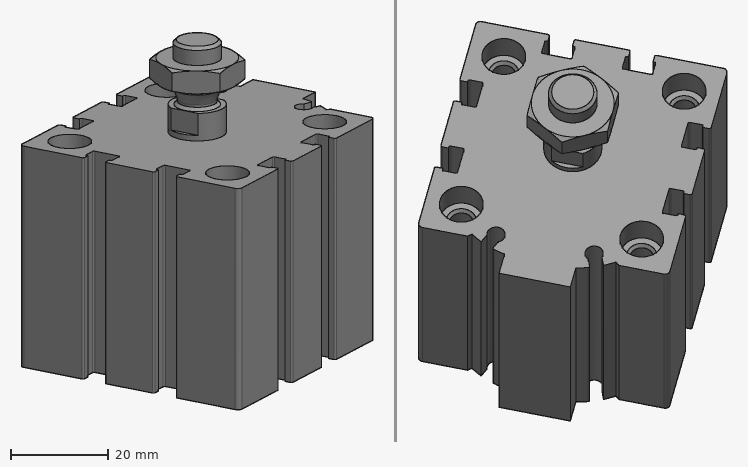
import cadquery as cq
import math

BODY_WIDTH = 53.0
BODY_HEIGHT = 48.0
HALF_WIDTH = BODY_WIDTH / 2
CORNER_RADIUS = 1.0

TAB_WIDTH = 15.0
TOTAL_DEPTH = 60.5
TAB_END_Y = TOTAL_DEPTH - HALF_WIDTH

SLOT_OFFSET = 8.5
SLOT_DEPTH = 4.9
SLOT_WIDTH = 6.4
SLOT_RADIUS = 0.35
LIP_DEPTH = 1.7
MOUTH_WIDTH = 5.2
MOUTH_RADIUS = 0.4

GROOVE_TILT = 22.5
GROOVE_X = 10.35
GROOVE_Y = 24.75
GROOVE_DIAMETER = 3.75
GROOVE_NECK = 2.85
GROOVE_HEIGHT = 3.2
GROOVE_EDGE_RADIUS = 0.35

SHOULDER_RADIUS = 20.0
SHOULDER_TOP_Y = 29.1
NOTCH_X = 16.0
NOTCH_BOTTOM_X = 15.15
NOTCH_DEPTH = 0.7

HOLE_SPACING = 38.0
HOLE_DIAMETER = 4.9
COUNTERBORE_DIAMETER = 9.0
COUNTERBORE_DEPTH = 6.0
COUNTERSINK_DIAMETER = 6.2

ROD_DIAMETER = 12.0
ROD_LENGTH = 6.0
FLAT_DISTANCE = 10.0
FLAT_START = 1.2
THREAD_DIAMETER = 10.0
THREAD_CHAMFER = 0.7
NECK_DIAMETER = 8.2
NECK_LENGTH = 0.5
FLARE_HEIGHT = 0.7
TAPER_LENGTH = 2.45
TAPER_SAG = 0.1
TOTAL_HEIGHT = 68.0

NUT_ACROSS_FLATS = 17.0
NUT_HEIGHT = 4.95
NUT_TOP_Z = TOTAL_HEIGHT - 3.95
NUT_CHAMFER_ANGLE = 20.0


def base_block():
    """Square block with curved shoulders leading up to the rear tab."""
    tab_x = TAB_WIDTH / 2
    notch_y = HALF_WIDTH - NOTCH_DEPTH
    return (
        cq.Workplane("XY")
        .moveTo(-HALF_WIDTH, -HALF_WIDTH)
        .lineTo(HALF_WIDTH, -HALF_WIDTH)
        .lineTo(HALF_WIDTH, HALF_WIDTH)
        .lineTo(NOTCH_X, HALF_WIDTH)
        .lineTo(NOTCH_BOTTOM_X, notch_y)
        .radiusArc((tab_x, SHOULDER_TOP_Y), -SHOULDER_RADIUS)
        .lineTo(tab_x, TAB_END_Y)
        .lineTo(-tab_x, TAB_END_Y)
        .lineTo(-tab_x, SHOULDER_TOP_Y)
        .radiusArc((-NOTCH_BOTTOM_X, notch_y), -SHOULDER_RADIUS)
        .lineTo(-NOTCH_X, HALF_WIDTH)
        .lineTo(-HALF_WIDTH, HALF_WIDTH)
        .close()
        .extrude(BODY_HEIGHT)
    )


def round_edges(body, points, radius):
    """Fillet the vertical edges that pass through or close by the given XY points."""
    reach = 0.4
    for x, y in points:
        box = cq.selectors.BoxSelector((x - reach, y - reach, 0), (x + reach, y + reach, BODY_HEIGHT))
        body = body.edges("|Z").edges(box).fillet(radius)
    return body


def block_corners():
    return [(x, y) for x in (-HALF_WIDTH, HALF_WIDTH) for y in (-HALF_WIDTH, HALF_WIDTH)]


def mouth_corners():
    """XY points of all slot mouth edges on the front and side faces."""
    points = []
    for center in (-SLOT_OFFSET, SLOT_OFFSET):
        for along in (center - MOUTH_WIDTH / 2, center + MOUTH_WIDTH / 2):
            points += [(along, -HALF_WIDTH), (-HALF_WIDTH, along), (HALF_WIDTH, along)]
    return points


def slot_cutter(face_angle, center):
    """T-slot of the front face at X = center, turned about Z to the wanted face."""
    mouth = (
        cq.Workplane("XY")
        .center(center, SLOT_DEPTH / 2 - HALF_WIDTH)
        .rect(MOUTH_WIDTH, SLOT_DEPTH)
        .extrude(BODY_HEIGHT)
    )
    wide_portion = (
        cq.Workplane("XY")
        .center(center, (LIP_DEPTH + SLOT_DEPTH) / 2 - HALF_WIDTH)
        .rect(SLOT_WIDTH, SLOT_DEPTH - LIP_DEPTH)
        .extrude(BODY_HEIGHT)
        .edges("|Z")
        .fillet(SLOT_RADIUS)
    )
    return mouth.union(wide_portion).rotate((0, 0, 0), (0, 0, 1), face_angle)


def groove_cutter(side):
    """Sensor groove: a round bottom with a straight neck; side is -1 or 1 in X."""
    neck_length = 2 * GROOVE_HEIGHT
    neck = (
        cq.Workplane("XY")
        .center(0, neck_length / 2)
        .rect(GROOVE_NECK, neck_length)
        .extrude(BODY_HEIGHT)
    )
    groove = cq.Workplane("XY").circle(GROOVE_DIAMETER / 2).extrude(BODY_HEIGHT).union(neck)
    groove = groove.rotate((0, 0, 0), (0, 0, 1), -side * GROOVE_TILT)
    return groove.translate((side * GROOVE_X, GROOVE_Y, 0))


def groove_inner_edges():
    """XY points of the groove mouth edges nearest the tab."""
    tilt = math.radians(GROOVE_TILT)
    x = GROOVE_X + GROOVE_HEIGHT * math.sin(tilt) - GROOVE_NECK / 2 * math.cos(tilt)
    y = GROOVE_Y + GROOVE_HEIGHT * math.cos(tilt) + GROOVE_NECK / 2 * math.sin(tilt)
    return [(-x, y), (x, y)]


def hole_cutter():
    """Counterbored through hole with a 45 degree countersink in the counterbore floor."""
    floor_z = BODY_HEIGHT - COUNTERBORE_DEPTH
    sink_depth = (COUNTERSINK_DIAMETER - HOLE_DIAMETER) / 2
    return (
        cq.Workplane("XZ")
        .polyline([
            (0, 0),
            (HOLE_DIAMETER / 2, 0),
            (HOLE_DIAMETER / 2, floor_z - sink_depth),
            (COUNTERSINK_DIAMETER / 2, floor_z),
            (COUNTERBORE_DIAMETER / 2, floor_z),
            (COUNTERBORE_DIAMETER / 2, BODY_HEIGHT),
            (0, BODY_HEIGHT),
        ])
        .close()
        .revolve(360, (0, 0, 0), (0, 1, 0))
    )


def make_housing():
    body = round_edges(base_block(), block_corners(), CORNER_RADIUS)
    for face_angle in (-90, 0, 90):
        for center in (-SLOT_OFFSET, SLOT_OFFSET):
            body = body.cut(slot_cutter(face_angle, center))
    body = round_edges(body, mouth_corners(), MOUTH_RADIUS)
    for side in (-1, 1):
        body = body.cut(groove_cutter(side))
    body = round_edges(body, groove_inner_edges(), GROOVE_EDGE_RADIUS)
    for x in (-HOLE_SPACING / 2, HOLE_SPACING / 2):
        for y in (-HOLE_SPACING / 2, HOLE_SPACING / 2):
            body = body.cut(hole_cutter().translate((x, y, 0)))
    return body


def make_rod():
    """Turned rod standing on the housing, with two wrench flats facing -Y and +Y."""
    shoulder_z = BODY_HEIGHT + ROD_LENGTH
    thread_radius = THREAD_DIAMETER / 2
    neck_radius = NECK_DIAMETER / 2
    neck_bottom_z = shoulder_z + FLARE_HEIGHT
    neck_top_z = neck_bottom_z + NECK_LENGTH
    thread_z = neck_top_z + TAPER_LENGTH
    taper_middle = ((thread_radius + neck_radius) / 2 - TAPER_SAG, (neck_top_z + thread_z) / 2)
    rod = (
        cq.Workplane("XZ")
        .moveTo(0, BODY_HEIGHT)
        .lineTo(ROD_DIAMETER / 2, BODY_HEIGHT)
        .lineTo(ROD_DIAMETER / 2, shoulder_z)
        .lineTo(neck_radius + FLARE_HEIGHT, shoulder_z)
        .lineTo(neck_radius, neck_bottom_z)
        .lineTo(neck_radius, neck_top_z)
        .threePointArc(taper_middle, (thread_radius, thread_z))
        .lineTo(thread_radius, TOTAL_HEIGHT - THREAD_CHAMFER)
        .lineTo(thread_radius - THREAD_CHAMFER, TOTAL_HEIGHT)
        .lineTo(0, TOTAL_HEIGHT)
        .close()
        .revolve(360, (0, 0, 0), (0, 1, 0))
    )
    flat_height = ROD_LENGTH - FLAT_START
    for side in (-1, 1):
        flat = (
            cq.Workplane("XY")
            .box(ROD_DIAMETER, ROD_DIAMETER, flat_height, centered=(True, True, False))
            .translate((0, side * (FLAT_DISTANCE + ROD_DIAMETER) / 2, BODY_HEIGHT + FLAT_START))
        )
        rod = rod.cut(flat)
    return rod


def make_nut():
    """Hexagon nut with corners up and down in Y, chamfered on both faces."""
    corner_radius = NUT_ACROSS_FLATS / math.sqrt(3)
    face_radius = NUT_ACROSS_FLATS / 2
    chamfer = (corner_radius - face_radius) * math.tan(math.radians(NUT_CHAMFER_ANGLE))
    envelope = (
        cq.Workplane("XZ")
        .polyline([
            (0, 0),
            (face_radius, 0),
            (corner_radius, chamfer),
            (corner_radius, NUT_HEIGHT - chamfer),
            (face_radius, NUT_HEIGHT),
            (0, NUT_HEIGHT),
        ])
        .close()
        .revolve(360, (0, 0, 0), (0, 1, 0))
    )
    hexagon = (
        cq.Workplane("XY")
        .polygon(6, 2 * corner_radius)
        .extrude(NUT_HEIGHT)
        .rotate((0, 0, 0), (0, 0, 1), 30)
    )
    bore = cq.Workplane("XY").circle(THREAD_DIAMETER / 2).extrude(NUT_HEIGHT)
    nut = hexagon.intersect(envelope).cut(bore)
    return nut.translate((0, 0, NUT_TOP_Z - NUT_HEIGHT))


housing = make_housing()
rod = make_rod()
nut = make_nut()

result = cq.Compound.makeCompound([housing.val(), rod.val(), nut.val()])